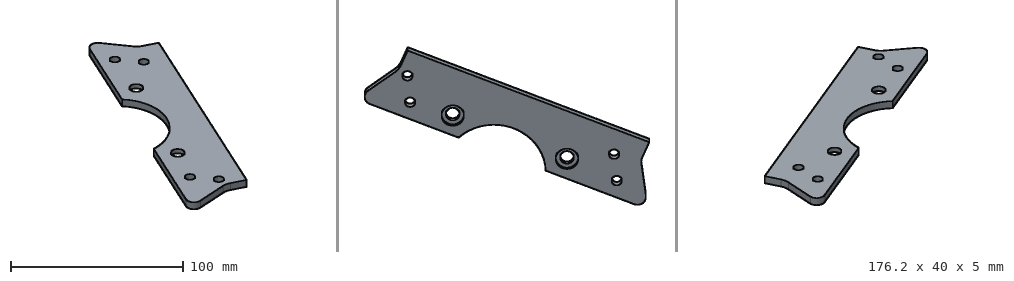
import cadquery as cq
import math

overall_length = 176.2
top_width = 152.0
depth = 40.0
thickness = 5.0

flare_angle = math.radians(30)
tip_radius = 5.0
neck_radius = 10.0

relief_radius = 30.0
relief_top = 17.8

large_hole_diameter = 8.0
counterbore_diameter = 13.0
counterbore_depth = 2.0
large_hole_spacing = 71.9
large_hole_y = 11.8
small_hole_diameter = 6.0
small_hole_spacing = 130.0
upper_row_y = 25.0
upper_row_shift = 5.0
lower_row_y = 10.0
lower_row_shift = -3.0

half_top = top_width / 2
tip_center_x = overall_length / 2 - tip_radius
sharp_corner_x = tip_center_x + tip_radius * (1 + math.sin(flare_angle)) / math.cos(flare_angle)
neck_y = (sharp_corner_x - half_top) / math.tan(flare_angle)


def flared_plate():
    outline = [
        (-sharp_corner_x, 0),
        (sharp_corner_x, 0),
        (half_top, neck_y),
        (half_top, depth),
        (-half_top, depth),
        (-half_top, neck_y),
    ]
    plate = cq.Workplane("XY").polyline(outline).close().extrude(thickness)
    for side in (-1, 1):
        tip = cq.selectors.NearestToPointSelector((side * sharp_corner_x, 0, thickness / 2))
        plate = plate.edges("|Z").edges(tip).fillet(tip_radius)
        neck = cq.selectors.NearestToPointSelector((side * half_top, neck_y, thickness / 2))
        plate = plate.edges("|Z").edges(neck).fillet(neck_radius)
    return plate


def upright_cylinder(x, y, diameter, height=thickness):
    return cq.Workplane("XY").center(x, y).circle(diameter / 2).extrude(height)


result = flared_plate()
result = result.cut(upright_cylinder(0, relief_top - relief_radius, 2 * relief_radius))

for side in (-1, 1):
    large_x = side * large_hole_spacing / 2
    result = result.cut(upright_cylinder(large_x, large_hole_y, large_hole_diameter))
    result = result.cut(
        upright_cylinder(large_x, large_hole_y, counterbore_diameter, counterbore_depth)
    )
    for row_y, row_shift in ((upper_row_y, upper_row_shift), (lower_row_y, lower_row_shift)):
        small_x = row_shift + side * small_hole_spacing / 2
        result = result.cut(upright_cylinder(small_x, row_y, small_hole_diameter))